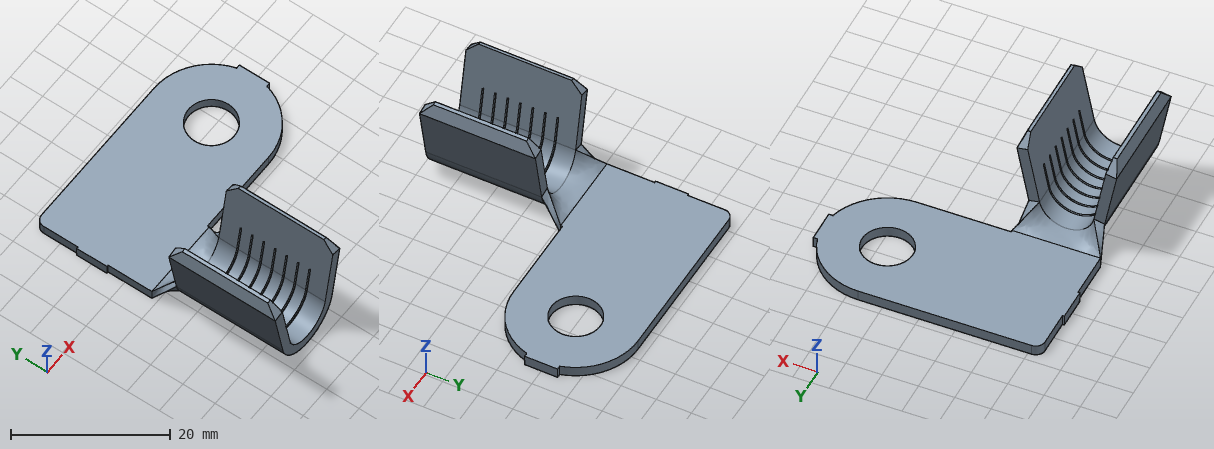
import cadquery as cq
import math

INCH = 25.4

thickness = 0.06 * INCH
tongue_radius = 0.35 * INCH
hole_x = 0.75 * INCH
hole_diameter = 7.0
tongue_left = -0.24 * INCH
corner_radius = 0.05 * INCH
tab_projection = 0.01 * INCH
tab_width = 0.185 * INCH

neck_lip = 0.01 * INCH
neck_length = 0.125 * INCH
neck_half_width = -tongue_left

barrel_length = 0.65 * INCH
barrel_height = 0.575 * INCH
wall_lean = math.radians(11)
inner_radius = 3.80
outer_radius = inner_radius + thickness
edge_land = 0.53
bevel_length = 1.63

groove_count = 7
groove_pitch = 0.07 * INCH
groove_width = 0.01 * INCH
groove_depth = groove_width / 2
groove_half_span = 4.45

neck_start_y = -tongue_radius - neck_lip
barrel_rear_y = neck_start_y - neck_length
barrel_front_y = barrel_rear_y - barrel_length
barrel_mid_y = (barrel_rear_y + barrel_front_y) / 2
lean_sin = math.sin(wall_lean)
lean_cos = math.cos(wall_lean)


def tangent_point(radius):
    """Point (x, z) where the right wall leaves the arc of this radius."""
    return radius * lean_cos, outer_radius - radius * lean_sin


wall_length = (barrel_height - tangent_point(inner_radius)[1]) / lean_cos


def wall_point(radius, distance):
    """Point (x, z) on the right wall, at a distance up from the tangent point."""
    x, z = tangent_point(radius)
    return x + distance * lean_sin, z + distance * lean_cos


def mirrored(point):
    """The same (x, z) point on the left wall."""
    return -point[0], point[1]


def plane_xz(y):
    """Sketch plane at this Y whose normal points toward -Y."""
    return cq.Workplane("XZ", origin=(0, y, 0))


def make_plate(x_min, x_max, y_min, y_max):
    """Flat plate, one sheet thick."""
    corner = cq.Workplane("XY", origin=(x_min, y_min, 0))
    return corner.box(x_max - x_min, y_max - y_min, thickness, centered=False)


def make_tongue():
    """Flat tongue with a rounded end, a bolt hole, two edge tabs and the strip that meets the neck."""
    body = make_plate(tongue_left, hole_x, -tongue_radius, tongue_radius)
    body = body.edges("|Z and <X and >Y").fillet(corner_radius)
    body = body.union(cq.Workplane("XY").center(hole_x, 0).circle(tongue_radius).extrude(thickness))
    tab_left = tongue_left - tab_projection
    tab_right = hole_x + tongue_radius + tab_projection
    body = body.union(make_plate(tab_left, tab_right, -tab_width / 2, tab_width / 2))
    body = body.union(make_plate(-neck_half_width, neck_half_width, neck_start_y, 0))
    return body.cut(cq.Workplane("XY").center(hole_x, 0).circle(hole_diameter / 2).extrude(thickness))


def make_neck():
    """Ruled transition from the flat strip to the curved floor of the barrel."""

    def flat_point(x, z):
        return cq.Vector(x, neck_start_y, z)

    def curved_point(x, z):
        return cq.Vector(x, barrel_rear_y, z)

    flat = [
        flat_point(-neck_half_width, 0),
        flat_point(neck_half_width, 0),
        flat_point(neck_half_width, thickness),
        flat_point(-neck_half_width, thickness),
    ]
    inner_end = tangent_point(inner_radius)
    outer_end = tangent_point(outer_radius)
    curved = [
        curved_point(*mirrored(outer_end)),
        curved_point(*outer_end),
        curved_point(*inner_end),
        curved_point(*mirrored(inner_end)),
    ]
    flat_edges = [cq.Edge.makeLine(start, end) for start, end in zip(flat, flat[1:] + flat[:1])]
    curved_edges = [
        cq.Edge.makeThreePointArc(curved[0], curved_point(0, 0), curved[1]),
        cq.Edge.makeLine(curved[1], curved[2]),
        cq.Edge.makeThreePointArc(curved[2], curved_point(0, thickness), curved[3]),
        cq.Edge.makeLine(curved[3], curved[0]),
    ]
    faces = [cq.Face.makeRuledSurface(near, far) for near, far in zip(flat_edges, curved_edges)]
    for edges in (flat_edges, curved_edges):
        faces.append(cq.Face.makeFromWires(cq.Wire.assembleEdges(edges)))
    return cq.Workplane(cq.Solid.makeSolid(cq.Shell.makeShell(faces)))


def make_barrel():
    """Open U-shaped barrel whose walls are bevelled along their outer top edges."""
    inner_top = wall_point(inner_radius, wall_length)
    land_edge = wall_point(inner_radius + edge_land, wall_length)
    bevel_start = wall_point(outer_radius, wall_length - bevel_length)
    outer_end = tangent_point(outer_radius)
    inner_end = tangent_point(inner_radius)
    return (
        plane_xz(barrel_rear_y)
        .moveTo(*mirrored(outer_end))
        .threePointArc((0, 0), outer_end)
        .lineTo(*bevel_start)
        .lineTo(*land_edge)
        .lineTo(*inner_top)
        .lineTo(*inner_end)
        .threePointArc((0, thickness), mirrored(inner_end))
        .lineTo(*mirrored(inner_top))
        .lineTo(*mirrored(land_edge))
        .lineTo(*mirrored(bevel_start))
        .close()
        .extrude(barrel_length)
    )


def make_corner_cutter(end_y, inward):
    """Wedge over the top corner at one end of the right wall; inward is the sign of Y into the barrel."""
    corner_x, corner_z = wall_point(inner_radius, wall_length)
    plane = cq.Plane(
        origin=(corner_x, end_y, corner_z),
        xDir=(lean_sin, 0, lean_cos),
        normal=(lean_cos, 0, -lean_sin),
    )
    return (
        cq.Workplane(plane)
        .polyline([(0, 0), (-bevel_length, 0), (0, -inward * bevel_length)])
        .close()
        .extrude(thickness)
    )


def make_groove(center_y):
    """V-shaped groove swept up both walls and around the floor of the barrel."""
    rise = (groove_half_span - tangent_point(inner_radius)[0]) / lean_sin
    top = wall_point(inner_radius, rise)
    end = tangent_point(inner_radius)
    path = (
        plane_xz(center_y)
        .moveTo(*mirrored(top))
        .lineTo(*mirrored(end))
        .threePointArc((0, thickness), end)
        .lineTo(*top)
    )
    section = cq.Plane(
        origin=(-top[0], center_y, top[1]),
        xDir=(0, 1, 0),
        normal=(lean_sin, 0, -lean_cos),
    )
    half_width = groove_width / 2
    return (
        cq.Workplane(section)
        .polyline([(-half_width, 0), (0, -groove_depth), (half_width, 0), (0, groove_depth)])
        .close()
        .sweep(path)
    )


barrel = make_barrel()
for end_y, inward in ((barrel_front_y, 1), (barrel_rear_y, -1)):
    cutter = make_corner_cutter(end_y, inward)
    barrel = barrel.cut(cutter).cut(cutter.mirror("YZ"))

for index in range(groove_count):
    offset = (index - (groove_count - 1) / 2) * groove_pitch
    barrel = barrel.cut(make_groove(barrel_mid_y + offset))

result = make_tongue().union(make_neck()).union(barrel)